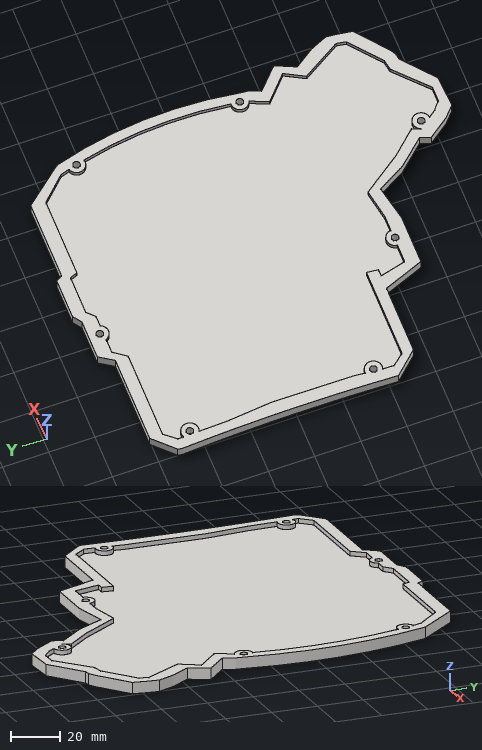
import cadquery as cq


TRAY_HEIGHT = 5.0
POCKET_DEPTH = 2.0
FLOOR_HEIGHT = TRAY_HEIGHT - POCKET_DEPTH

BOSS_DIAMETER = 7.5
SCREW_HOLE_DIAMETER = 3.0
SCREW_CENTRES = [
    (-73.8, 64.1),
    (-18.1, 82.0),
    (59.7, 62.7),
    (64.0, -9.7),
    (29.5, -75.2),
    (-18.1, -45.9),
    (-72.9, -15.8),
]

OUTER_TOP_Y = 89.5
OUTER_SHELF_Y = 86.9
OUTER_SHOULDER_Y = 80.6
OUTER_LEDGE_Y = -34.2
OUTER_STEP_Y = -51.8
OUTER_BOTTOM_Y = -89.5
POCKET_TOP_Y = 83.8
POCKET_SHELF_Y = 80.6
POCKET_SHOULDER_Y = 75.0
POCKET_LEDGE_Y = -29.2
POCKET_STEP_Y = -45.5
POCKET_BOTTOM_Y = -85.1

WAIST_X = -78.6
WAIST_Y = 12.5
LEFT_TOP_Y = 70.0
LEFT_BOW = 1.8
LEFT_FACET_YS = [-24.2, -23.0, -7.9, -5.4, 2.9, 20.5, 28.5, 31.0, 46.0, 54.3, LEFT_TOP_Y]


def left_facet_corner(y):
    """Corner of the faceted left side at height y, on a parabola about the waist."""
    offset = (y - WAIST_Y) / (LEFT_TOP_Y - WAIST_Y)
    return (WAIST_X - LEFT_BOW * offset**2, y)


OUTER_TOP_EDGE = [
    (-71.3, OUTER_SHOULDER_Y),
    (-32.0, OUTER_SHOULDER_Y),
    (-28.0, OUTER_SHELF_Y),
    (-10.4, OUTER_SHELF_Y),
    (-6.6, OUTER_TOP_Y),
    (11.5, OUTER_TOP_Y),
    (12.9, OUTER_SHELF_Y),
    (48.4, OUTER_SHELF_Y),
    (62.3, 70.2),
]
OUTER_RIGHT_ARC_MIDDLE = (70.2, 20.0)
OUTER_RIGHT_ARC_END = (67.9, -11.3)
OUTER_THUMB_EDGE = [
    (67.5, -14.7),
    (65.5, -19.7),
    (75.0, -28.5),
    (71.1, -37.3),
    (76.9, -45.5),
    (80.3, -53.0),
    (79.9, -57.1),
    (78.8, -64.3),
    (65.0, -75.5),
    (62.5, -76.9),
    (60.0, -77.2),
    (46.0, -88.9),
    (32.2, OUTER_BOTTOM_Y),
    (31.5, -89.0),
    (27.2, -85.1),
    (20.8, -76.3),
    (22.4, -71.8),
    (12.2, -60.5),
    (5.4, -48.5),
]
OUTER_STEP_EDGE = [
    (-10.4, OUTER_STEP_Y),
    (-32.2, OUTER_STEP_Y),
    (-33.1, -49.8),
    (-39.2, OUTER_LEDGE_Y),
    (-70.0, OUTER_LEDGE_Y),
]
OUTER_LEFT_EDGE = [left_facet_corner(y) for y in LEFT_FACET_YS] + [(-80.0, 71.8)]

POCKET_TOP_EDGE = [
    (-71.3, POCKET_SHOULDER_Y),
    (-32.0, POCKET_SHOULDER_Y),
    (-28.0, POCKET_SHELF_Y),
    (-10.0, POCKET_SHELF_Y),
    (-6.6, POCKET_TOP_Y),
    (10.7, POCKET_TOP_Y),
    (12.0, POCKET_SHELF_Y),
    (47.5, POCKET_SHELF_Y),
    (57.5, 70.2),
]
POCKET_RIGHT_ARC_MIDDLE = (65.7, 18.3)
POCKET_RIGHT_ARC_END = (63.2, -12.5)
POCKET_THUMB_EDGE = [
    (59.7, -21.0),
    (70.2, -30.6),
    (65.5, -39.2),
    (75.8, -55.9),
    (75.0, -60.0),
    (61.3, -71.3),
    (56.8, -72.0),
    (42.6, POCKET_BOTTOM_Y),
    (36.0, POCKET_BOTTOM_Y),
    (32.0, -81.9),
    (26.0, -73.8),
    (27.4, -70.2),
    (18.0, -60.0),
    (5.7, -43.2),
]
POCKET_STEP_EDGE = [
    (-7.5, POCKET_STEP_Y),
    (-30.1, POCKET_STEP_Y),
    (-33.0, -34.2),
    (-30.0, -34.2),
    (-29.4, POCKET_LEDGE_Y),
    (-70.0, POCKET_LEDGE_Y),
]
POCKET_LEFT_EDGE = [
    (-74.3, -24.2),
    (-74.2, -18.8),
    (-73.0, -7.0),
    (-72.9, 28.3),
    (-74.9, 48.4),
    (-75.6, 70.0),
]


def closed_outline(plane, top_edge, arc_middle, arc_end, remaining_corners):
    """Straight top edge, one bowed right side, then straight edges back to the start."""
    outline = plane.polyline(top_edge).threePointArc(arc_middle, arc_end)
    for corner in remaining_corners:
        outline = outline.lineTo(*corner)
    return outline.close()


def tray_blank():
    corners = OUTER_THUMB_EDGE + OUTER_STEP_EDGE + OUTER_LEFT_EDGE
    outline = closed_outline(
        cq.Workplane("XY"), OUTER_TOP_EDGE, OUTER_RIGHT_ARC_MIDDLE, OUTER_RIGHT_ARC_END, corners
    )
    return outline.extrude(TRAY_HEIGHT)


def screw_cylinders(diameter, base_z):
    """Upright cylinders at all screw positions, from base_z to the top of the rim."""
    plane = cq.Workplane("XY").workplane(offset=base_z)
    return plane.pushPoints(SCREW_CENTRES).circle(diameter / 2).extrude(TRAY_HEIGHT - base_z)


def pocket():
    """Volume removed above the floor, leaving the rim and the bosses standing."""
    corners = POCKET_THUMB_EDGE + POCKET_STEP_EDGE + POCKET_LEFT_EDGE
    plane = cq.Workplane("XY").workplane(offset=FLOOR_HEIGHT)
    outline = closed_outline(
        plane, POCKET_TOP_EDGE, POCKET_RIGHT_ARC_MIDDLE, POCKET_RIGHT_ARC_END, corners
    )
    return outline.extrude(POCKET_DEPTH).cut(screw_cylinders(BOSS_DIAMETER, FLOOR_HEIGHT))


result = tray_blank().cut(pocket()).cut(screw_cylinders(SCREW_HOLE_DIAMETER, 0))